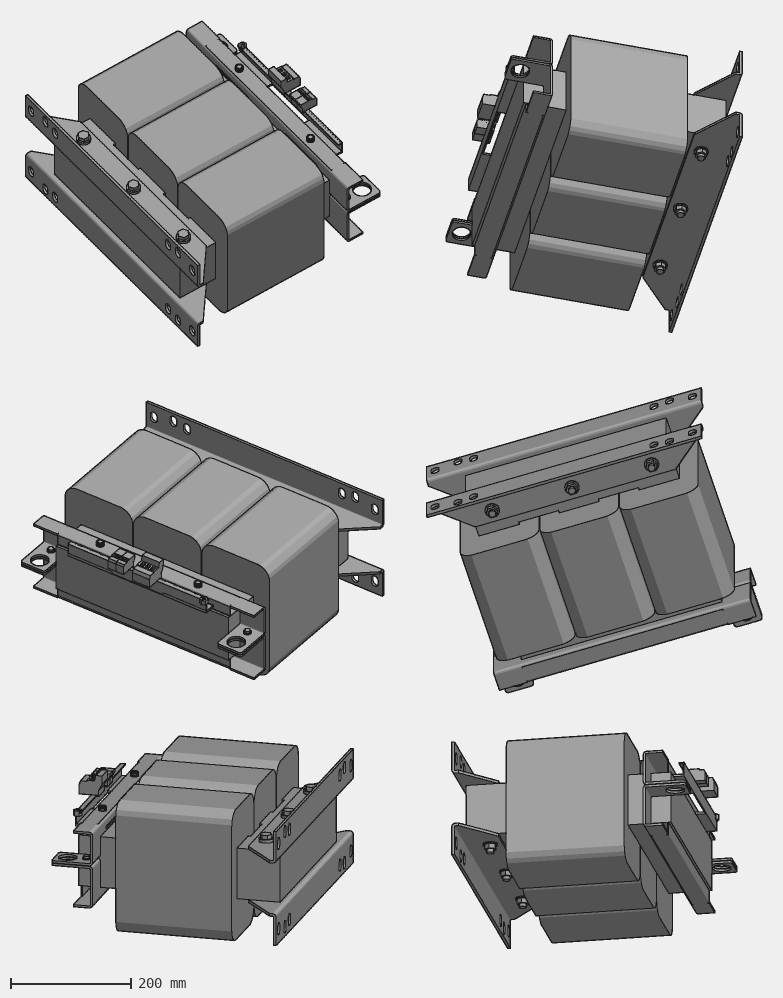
import cadquery as cq
import math

TOTAL_LENGTH = 480.0
TOTAL_DEPTH = 396.5
TOTAL_HEIGHT = 228.0

CORE_LENGTH = 350.5
CORE_HEIGHT = 88.5
CORE_FRONT = 11.5
CORE_BACK = 359.5
WINDOW_WIDTH = 69.5
WINDOW_FRONT = 81.5

COIL_PITCH = 139.0
COIL_WIDTH = 137.5
COIL_FRONT = 86.0
COIL_BACK = 286.5
COIL_CORNER_RADIUS = 25.0

FOOT_THICKNESS = 5.0
FOOT_BEND_RADIUS = 6.0
FOOT_TOP = 99.5
FOOT_FLANGE_DEPTH = 66.0
FOOT_LEG_END = 11.5
SLOT_WIDTH = 13.5
SLOT_HEIGHT = 20.5
FOOT_SLOTS = [(224.5, 74.5), (185.0, 83.0), (157.5, 78.5)]

FOOT_BOLT_Y = 45.5
BOLT_HEX = 17.5
BOLT_WASHER_RADIUS = 12.0
HEAD_WASHER_HEIGHT = 5.5
HEAD_HEIGHT = 7.0
NUT_WASHER_HEIGHT = 2.0
NUT_HEIGHT = 8.0
STUD_RADIUS = 6.0
STUD_LENGTH = 6.0

SHEET = 4.0
CHANNEL_BEND_RADIUS = 6.0
CHANNEL_LENGTH = 448.5
CHANNEL_FRONT = 322.0
CHANNEL_BACK = 355.0
CHANNEL_TOP = 66.0
CHANNEL_SEAM = 7.0
CHANNEL_GAP = 1.0
LIP_THICKNESS = 2.0
LIP_BEND_RADIUS = 3.5

EYE_WIDTH = 49.0
EYE_BACK = 393.0
EYE_CORNER_RADIUS = 5.0
EYE_HOLE_DIAMETER = 31.0
EYE_HOLE_Y = 371.5

CHANNEL_BOLT_X = 99.5
CHANNEL_BOLT_Y = 339.5
CHANNEL_BOLT_RADIUS = 3.0
CHANNEL_BOLT_TOP = 74.0
CHANNEL_WASHER_RADIUS = 6.5
CHANNEL_WASHER_HEIGHT = 2.0
CHANNEL_COLLAR_BOTTOM = 71.0
CHANNEL_COLLAR_HEIGHT = 1.5
CHANNEL_HEAD_RADIUS = 5.0
CHANNEL_HEAD_HEIGHT = 3.5

RAIL_LENGTH = 281.5
RAIL_SHEET = 2.0
RAIL_BACK = 375.0
RAIL_BOTTOM = 48.0
RAIL_TOP = 72.5
RAIL_LIP_FRONT = 366.0
SUPPORT_FRONT = 321.5
SUPPORT_GAP = 103.0
EARTH_SCREW_X = -134.5
EARTH_SCREW_Y = 372.5
EARTH_SCREW_BOTTOM = 65.5
EARTH_SCREW_HEIGHT = 9.0
EARTH_SCREW_HEX = 12.5
EARTH_SOCKET_RADIUS = 3.0
EARTH_SOCKET_DEPTH = 2.0

TERMINAL_BOTTOM = 72.0
TERMINAL_FOOT = 70.0
SOCKET_Y = 376.5
SOCKET_DEPTH = 5.0

LARGE_LEFT = -41.0
LARGE_WIDTH = 35.0
LARGE_FRONT = 356.5
LARGE_DECK = 97.0
LARGE_TOP = 106.5
LARGE_SOCKET_SIZE = 6.0
LARGE_SOCKETS = (6.5, 17.5, 27.5)

SMALL_LEFT = 15.5
SMALL_WIDTH = 15.5
SMALL_PITCH = 16.0
SMALL_FRONT = 358.5
SMALL_BACK = 391.5
SMALL_DECK = 93.0
SMALL_SOCKET_SIZE = 4.5
SMALL_SOCKETS = (4.5, 11.0)


def block(x0, x1, y0, y1, z0, z1):
    """Box given by its lower and upper limits along each axis."""
    return cq.Workplane("XY").box(x1 - x0, y1 - y0, z1 - z0, centered=False).translate((x0, y0, z0))


def disc(x, y, z0, height, radius):
    """Upright cylinder standing on height z0."""
    return cq.Workplane("XY", origin=(x, y, z0)).circle(radius).extrude(height)


def hexagon(x, y, z0, height, across_flats, turn=0):
    """Upright hexagonal prism; with no turn its corners point along X."""
    across_corners = across_flats / math.cos(math.pi / 6)
    prism = cq.Workplane("XY").polygon(6, across_corners).extrude(height)
    return prism.rotate((0, 0, 0), (0, 0, 1), turn).translate((x, y, z0))


def join(solids):
    """Union of a list of solids."""
    joined = solids[0]
    for solid in solids[1:]:
        joined = joined.union(solid)
    return joined


def mirror_x(solid):
    return solid.union(solid.mirror("YZ"))


def mirror_z(solid):
    return solid.union(solid.mirror("XY"))


def make_core():
    half_length = CORE_LENGTH / 2
    half_height = CORE_HEIGHT / 2
    core = block(-half_length, half_length, CORE_FRONT, CORE_BACK, -half_height, half_height)
    for x in (-COIL_PITCH / 2, COIL_PITCH / 2):
        x0 = x - WINDOW_WIDTH / 2
        x1 = x + WINDOW_WIDTH / 2
        core = core.cut(block(x0, x1, WINDOW_FRONT, COIL_BACK, -half_height, half_height))
    return core


def make_coils():
    coils = []
    for x in (-COIL_PITCH, 0, COIL_PITCH):
        x0 = x - COIL_WIDTH / 2
        coil = block(x0, x0 + COIL_WIDTH, COIL_FRONT, COIL_BACK, -TOTAL_HEIGHT / 2, TOTAL_HEIGHT / 2)
        coils.append(coil.edges("|Y").fillet(COIL_CORNER_RADIUS))
    return join(coils)


def make_upper_foot():
    """Angle with an upright slotted leg and a flange tapering back to the core length."""
    half_length = TOTAL_LENGTH / 2
    bottom = CORE_HEIGHT / 2
    leg = block(-half_length, half_length, 0, FOOT_THICKNESS, bottom, FOOT_TOP)
    flange = (
        cq.Workplane("XY", origin=(0, 0, bottom))
        .moveTo(-half_length, 0)
        .lineTo(half_length, 0)
        .lineTo(half_length, FOOT_LEG_END)
        .lineTo(CORE_LENGTH / 2, FOOT_FLANGE_DEPTH)
        .lineTo(-CORE_LENGTH / 2, FOOT_FLANGE_DEPTH)
        .lineTo(-half_length, FOOT_LEG_END)
        .close()
        .extrude(FOOT_THICKNESS)
    )
    foot = leg.union(flange)
    foot = foot.edges("|X and <Y and <Z").fillet(FOOT_BEND_RADIUS)
    inner_bend = cq.selectors.NearestToPointSelector((0, FOOT_THICKNESS, bottom + FOOT_THICKNESS))
    foot = foot.edges(inner_bend).fillet(FOOT_BEND_RADIUS - FOOT_THICKNESS)
    slot_places = [(side * x, z) for x, z in FOOT_SLOTS for side in (-1, 1)]
    slots = (
        cq.Workplane("XZ")
        .pushPoints(slot_places)
        .slot2D(SLOT_HEIGHT, SLOT_WIDTH, 90)
        .extrude(-FOOT_THICKNESS)
    )
    return foot.cut(slots)


def make_foot_bolt(x):
    """Bolt head on the upper foot and its nut and stud end under the lower foot."""
    y = FOOT_BOLT_Y
    seat = CORE_HEIGHT / 2 + FOOT_THICKNESS
    nut_top = -seat - NUT_WASHER_HEIGHT
    nut_bottom = nut_top - NUT_HEIGHT
    return join([
        disc(x, y, seat, HEAD_WASHER_HEIGHT, BOLT_WASHER_RADIUS),
        hexagon(x, y, seat + HEAD_WASHER_HEIGHT, HEAD_HEIGHT, BOLT_HEX, turn=30),
        disc(x, y, nut_top, NUT_WASHER_HEIGHT, BOLT_WASHER_RADIUS),
        hexagon(x, y, nut_bottom, NUT_HEIGHT, BOLT_HEX),
        disc(x, y, nut_bottom - STUD_LENGTH, STUD_LENGTH, STUD_RADIUS),
    ])


def make_channel(z0, z1):
    """Sheet channel open to the rear, with rounded bends along its front."""
    half_length = CHANNEL_LENGTH / 2
    outer = block(-half_length, half_length, CHANNEL_FRONT, CHANNEL_BACK, z0, z1)
    outer = outer.edges("|X and <Y").fillet(CHANNEL_BEND_RADIUS)
    inner = block(
        -half_length, half_length, CHANNEL_FRONT + SHEET, CHANNEL_BACK, z0 + SHEET, z1 - SHEET
    )
    inner = inner.edges("|X and <Y").fillet(CHANNEL_BEND_RADIUS - SHEET)
    return outer.cut(inner)


def make_rear_wall():
    """Thin wall closing the channels over the core length, its bends rounded top and bottom."""
    half_length = CORE_LENGTH / 2
    outer = block(
        -half_length, half_length, CHANNEL_FRONT + SHEET, CHANNEL_BACK, -CHANNEL_TOP, CHANNEL_TOP
    )
    outer = outer.edges("|X and >Y").fillet(LIP_BEND_RADIUS)
    inner_top = CHANNEL_TOP - SHEET
    inner = block(
        -half_length, half_length, CHANNEL_FRONT, CHANNEL_BACK - LIP_THICKNESS, -inner_top, inner_top
    )
    return outer.cut(inner)


def make_channels():
    upper = make_channel(CHANNEL_SEAM + CHANNEL_GAP / 2, CHANNEL_TOP)
    lower = make_channel(-CHANNEL_TOP, CHANNEL_SEAM - CHANNEL_GAP / 2)
    channels = upper.union(lower)
    half_length = CORE_LENGTH / 2
    bend_front = CHANNEL_BACK - LIP_BEND_RADIUS
    for z0 in (-CHANNEL_TOP, CHANNEL_TOP - SHEET):
        channels = channels.cut(
            block(-half_length, half_length, bend_front, CHANNEL_BACK, z0, z0 + SHEET)
        )
    return channels.union(make_rear_wall())


def make_lifting_eye():
    """Pair of lugs at the right-hand end of the channels, with a bolt head on the upper one."""
    x1 = CHANNEL_LENGTH / 2
    x0 = x1 - EYE_WIDTH
    x_middle = (x0 + x1) / 2
    y = CHANNEL_BOLT_Y
    half_gap = CHANNEL_GAP / 2
    bottom = CHANNEL_SEAM - half_gap - SHEET
    top = CHANNEL_SEAM + half_gap + SHEET
    lugs = block(x0, x1, y, EYE_BACK, bottom, top)
    lugs = lugs.edges("|Z and >Y").fillet(EYE_CORNER_RADIUS)
    lugs = lugs.cut(block(x0, x1, y, EYE_BACK, CHANNEL_SEAM - half_gap, CHANNEL_SEAM + half_gap))
    lugs = lugs.cut(disc(x_middle, EYE_HOLE_Y, bottom, top - bottom, EYE_HOLE_DIAMETER / 2))
    head_base = top + CHANNEL_WASHER_HEIGHT
    return join([
        lugs,
        disc(x_middle, y, top, CHANNEL_WASHER_HEIGHT, CHANNEL_WASHER_RADIUS),
        disc(x_middle, y, head_base, CHANNEL_HEAD_HEIGHT, CHANNEL_HEAD_RADIUS),
    ])


def make_channel_bolt(x):
    """Bolt holding the rail support under the top flange."""
    y = CHANNEL_BOLT_Y
    head_bottom = RAIL_BOTTOM - CHANNEL_HEAD_HEIGHT
    return join([
        disc(x, y, head_bottom, CHANNEL_HEAD_HEIGHT, CHANNEL_HEAD_RADIUS),
        disc(x, y, head_bottom, CHANNEL_BOLT_TOP - head_bottom, CHANNEL_BOLT_RADIUS),
        disc(x, y, CHANNEL_TOP, CHANNEL_WASHER_HEIGHT, CHANNEL_WASHER_RADIUS),
        disc(x, y, CHANNEL_TOP, CHANNEL_BOLT_TOP - CHANNEL_TOP, CHANNEL_HEAD_RADIUS),
        disc(x, y, CHANNEL_COLLAR_BOTTOM, CHANNEL_COLLAR_HEIGHT, CHANNEL_WASHER_RADIUS),
    ])


def make_rail():
    """Upright rail with a forward lip, carried on two flat support plates."""
    half_length = RAIL_LENGTH / 2
    wall_front = RAIL_BACK - RAIL_SHEET
    wall = block(-half_length, half_length, wall_front, RAIL_BACK, RAIL_BOTTOM, RAIL_TOP)
    lip = block(
        -half_length, half_length, RAIL_LIP_FRONT, RAIL_BACK, RAIL_TOP - RAIL_SHEET, RAIL_TOP
    )
    support = block(
        SUPPORT_GAP / 2, half_length, SUPPORT_FRONT, RAIL_BACK, RAIL_BOTTOM, RAIL_BOTTOM + SHEET
    )
    earth_screw = hexagon(
        EARTH_SCREW_X, EARTH_SCREW_Y, EARTH_SCREW_BOTTOM, EARTH_SCREW_HEIGHT, EARTH_SCREW_HEX,
        turn=30,
    )
    socket_bottom = EARTH_SCREW_BOTTOM + EARTH_SCREW_HEIGHT - EARTH_SOCKET_DEPTH
    socket = disc(
        EARTH_SCREW_X, EARTH_SCREW_Y, socket_bottom, EARTH_SOCKET_DEPTH, EARTH_SOCKET_RADIUS
    )
    return join([wall, lip, mirror_x(support), earth_screw]).cut(socket)


def make_terminal(left, width, profile, deck, sockets, socket_size):
    """Terminal body with the given Y-Z profile and a row of square wire sockets in its deck."""
    body = cq.Workplane("YZ", origin=(left, 0, 0)).polyline(profile).close().extrude(width)
    reach = socket_size / 2
    for offset in sockets:
        x = left + offset
        body = body.cut(block(
            x - reach, x + reach, SOCKET_Y - reach, SOCKET_Y + reach, deck - SOCKET_DEPTH, deck
        ))
    return body


def make_large_terminal():
    front = LARGE_FRONT
    back = TOTAL_DEPTH
    profile = [
        (front, LARGE_TOP),
        (front, LARGE_TOP - 14.5),
        (front + 6.0, LARGE_TOP - 26.0),
        (front + 6.0, TERMINAL_FOOT),
        (front + 8.5, TERMINAL_FOOT),
        (front + 8.5, TERMINAL_BOTTOM),
        (back, TERMINAL_BOTTOM),
        (back, LARGE_DECK - 8.5),
        (back - 2.5, LARGE_DECK - 2.0),
        (back - 13.5, LARGE_DECK - 2.0),
        (back - 13.5, LARGE_DECK),
        (front + 13.5, LARGE_DECK),
        (front + 11.0, LARGE_TOP),
    ]
    return make_terminal(
        LARGE_LEFT, LARGE_WIDTH, profile, LARGE_DECK, LARGE_SOCKETS, LARGE_SOCKET_SIZE
    )


def make_small_terminal(left):
    front = SMALL_FRONT
    back = SMALL_BACK
    profile = [
        (front, SMALL_DECK),
        (front, SMALL_DECK - 5.0),
        (front + 4.0, TERMINAL_BOTTOM + 8.5),
        (front + 4.0, TERMINAL_FOOT),
        (front + 6.5, TERMINAL_FOOT),
        (front + 6.5, TERMINAL_BOTTOM),
        (back, TERMINAL_BOTTOM),
        (back, SMALL_DECK - 6.0),
        (back - 2.0, SMALL_DECK - 2.0),
        (back - 9.5, SMALL_DECK - 2.0),
        (back - 9.5, SMALL_DECK),
    ]
    return make_terminal(left, SMALL_WIDTH, profile, SMALL_DECK, SMALL_SOCKETS, SMALL_SOCKET_SIZE)


parts = [make_core(), make_coils(), mirror_z(make_upper_foot()), make_channels()]
parts += [make_foot_bolt(x) for x in (-COIL_PITCH, 0, COIL_PITCH)]
parts += [mirror_x(make_lifting_eye()), make_rail()]
parts += [make_channel_bolt(x) for x in (-CHANNEL_BOLT_X, CHANNEL_BOLT_X)]
parts += [make_large_terminal()]
parts += [make_small_terminal(SMALL_LEFT + index * SMALL_PITCH) for index in range(2)]
result = join(parts)